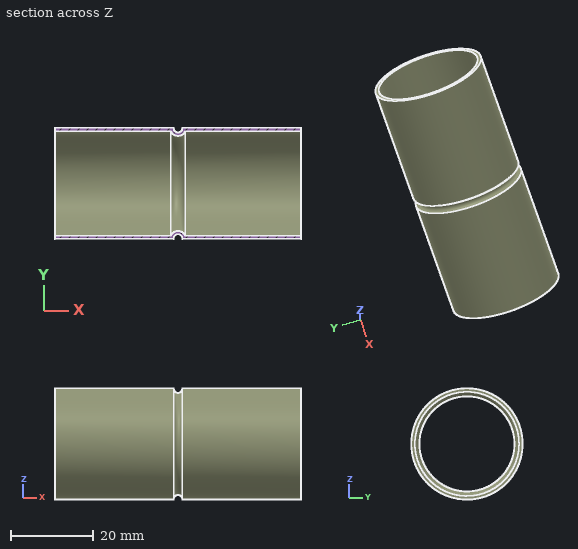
import cadquery as cq
import math

length = 60.0
outer_diameter = 27.2
wall = 0.9
groove_radius = 1.0
groove_depth = 1.15

outer_radius = outer_diameter / 2
bore_radius = outer_radius - wall
half_length = length / 2
groove_floor = outer_radius - groove_depth
groove_center = groove_floor + groove_radius

bead_radius = groove_radius + wall
bead_crest = groove_center - bead_radius
bead_half_width = math.sqrt(bead_radius**2 - (groove_center - bore_radius) ** 2)

wall_section = (
    cq.Workplane("XY")
    .moveTo(-half_length, bore_radius)
    .lineTo(-half_length, outer_radius)
    .lineTo(-groove_radius, outer_radius)
    .lineTo(-groove_radius, groove_center)
    .threePointArc((0, groove_floor), (groove_radius, groove_center))
    .lineTo(groove_radius, outer_radius)
    .lineTo(half_length, outer_radius)
    .lineTo(half_length, bore_radius)
    .lineTo(bead_half_width, bore_radius)
    .threePointArc((0, bead_crest), (-bead_half_width, bore_radius))
    .close()
)

result = wall_section.revolve(360, (0, 0, 0), (1, 0, 0))